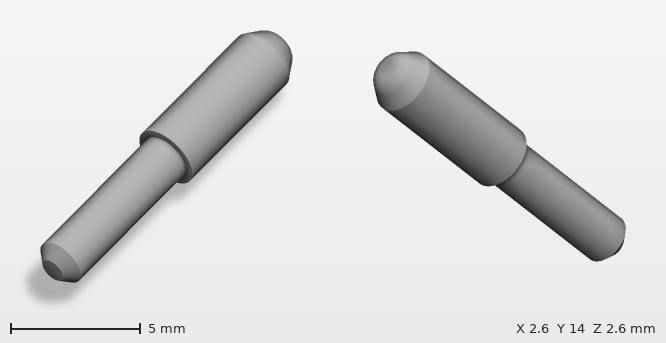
import cadquery as cq
import math

length = 14.0
body_length = 7.0
body_radius = 1.3
shank_radius = 1.0
shank_chamfer = 0.49

nose_length = 1.0
nose_half_angle = math.radians(30)
nose_fillet = 0.6

front = -length / 2
back = length / 2
shoulder = back - body_length
nose_start = back - nose_length

fillet_start = back - nose_fillet * (1 - math.sin(nose_half_angle))
fillet_start_radius = body_radius - (fillet_start - nose_start) * math.tan(nose_half_angle)
tip_radius = fillet_start_radius - nose_fillet * math.cos(nose_half_angle)

fillet_mid_angle = (nose_half_angle + math.pi / 2) / 2
fillet_mid = (
    tip_radius + nose_fillet * math.cos(fillet_mid_angle),
    back - nose_fillet * (1 - math.sin(fillet_mid_angle)),
)

profile = (
    cq.Workplane("XY")
    .moveTo(0, front)
    .lineTo(shank_radius - shank_chamfer, front)
    .lineTo(shank_radius, front + shank_chamfer)
    .lineTo(shank_radius, shoulder)
    .lineTo(body_radius, shoulder)
    .lineTo(body_radius, nose_start)
    .lineTo(fillet_start_radius, fillet_start)
    .threePointArc(fillet_mid, (tip_radius, back))
    .lineTo(0, back)
    .close()
)

result = profile.revolve(360, (0, 0, 0), (0, 1, 0))